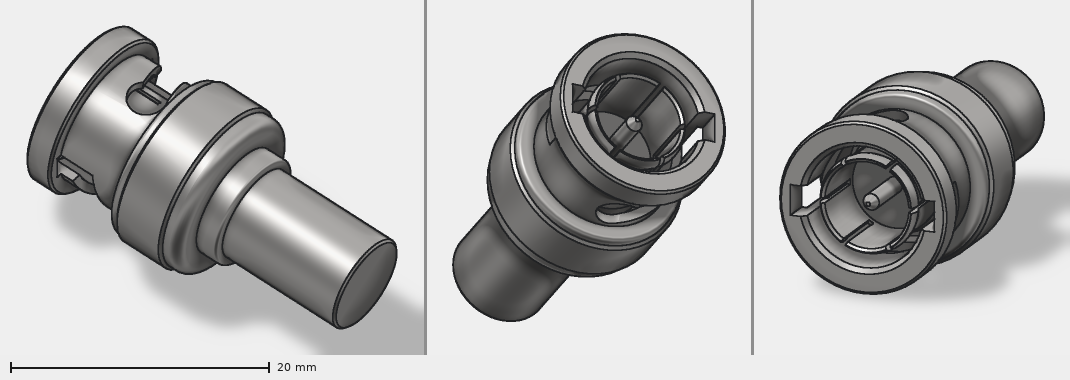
import cadquery as cq
import math

LENGTH = 28.0

FLANGE_RADIUS = 6.95
FLANGE_LENGTH = 2.38
FLANGE_CHAMFER = 0.2
SLEEVE_RADIUS = 5.68
BORE_RADIUS = 4.9
BORE_LEAD_IN = 0.4
GRIP_START = 8.23
GRIP_END = 15.05
GRIP_SHOULDER_RADIUS = 6.97
GRIP_RADIUS = 7.25
GRIP_BAND_START = 8.93
GRIP_BAND_END = 13.52
GRIP_BAND_CHAMFER = 0.35
GRIP_FRONT_FILLET = 0.42
GRIP_REAR_FILLET = 0.92

NECK_RADIUS = 4.75
NECK_END = 17.0
NECK_FILLET = 0.25
TUBE_RADIUS = 4.0
TUBE_CHAMFER = 0.2

ENTRY_WIDTH = 2.45
ENTRY_REACH = 6.0
RAMP_WIDTH = 2.52
RAMP_CENTER_AT_ENTRY = 4.5
RAMP_PITCH = 8.4
RAMP_END_ANGLE = 86.0
SEAT_RADIUS = 1.6
SEAT_X = 6.2
SEAT_OFFSET = 0.4

CONTACT_START = 0.73
CONTACT_RADIUS = 3.78
CONTACT_BORE_RADIUS = 3.5
CONTACT_LIP = 0.03
CONTACT_LEAD_IN = 0.2
NOSE_RADIUS = 4.0
NOSE_CREST = 1.4
NOSE_END = 2.25
GROOVE_START = 6.75
GROOVE_TAPER = 0.2
GROOVE_EDGE_RADIUS = 3.75
GROOVE_FLOOR_X = 7.28
GROOVE_FLOOR_RADIUS = 3.7
SHOULDER_RADIUS = 4.2
SHOULDER_START = 8.12
SLIT_WIDTH = 0.42
SLIT_END = 6.22
SLIT_COUNT = 6
INSULATOR_FACE = 6.72
CAVITY_END = 9.52

PIN_RADIUS = 0.658
PIN_START = 1.2
PIN_TIP_RADIUS = 0.17
PIN_CONE_LENGTH = 0.65

CUT_MARGIN = 0.28


def revolve_about_x(profile):
    """Turn a closed (x, radius) workplane profile about the X axis."""
    return profile.revolve(360, (0, 0, 0), (1, 0, 0))


def cylinder(start, end, radius):
    return cq.Workplane("YZ", origin=(start, 0, 0)).circle(radius).extrude(end - start)


def make_shell():
    flange = cylinder(0, FLANGE_LENGTH, FLANGE_RADIUS).edges().chamfer(FLANGE_CHAMFER)
    sleeve = cylinder(0, GRIP_START, SLEEVE_RADIUS)
    bore = cylinder(0, GRIP_START, BORE_RADIUS)
    lead_in = revolve_about_x(
        cq.Workplane("XY")
        .moveTo(0, 0)
        .lineTo(0, BORE_RADIUS + BORE_LEAD_IN)
        .lineTo(BORE_LEAD_IN, BORE_RADIUS)
        .lineTo(BORE_LEAD_IN, 0)
        .close()
    )
    return flange.union(sleeve).cut(bore).cut(lead_in)


def make_ramp_cutter():
    """Helical slot running from the +Y entry up to the seat at +Z."""
    start_angle = -math.degrees(math.asin(ENTRY_WIDTH / 2 / SLEEVE_RADIUS))
    sweep_angle = RAMP_END_ANGLE - start_angle
    start_center = RAMP_CENTER_AT_ENTRY + RAMP_PITCH * start_angle / 360
    inner = BORE_RADIUS - CUT_MARGIN
    outer = SLEEVE_RADIUS + CUT_MARGIN
    helix = cq.Wire.makeHelix(RAMP_PITCH, RAMP_PITCH * sweep_angle / 360, SLEEVE_RADIUS)
    ramp = (
        cq.Workplane("XZ")
        .center((inner + outer) / 2, 0)
        .rect(outer - inner, RAMP_WIDTH)
        .sweep(cq.Workplane(helix), isFrenet=True)
    )
    ramp = ramp.rotate((0, 0, 0), (0, 0, 1), start_angle).translate((0, 0, start_center))
    return ramp.rotate((0, 0, 0), (1, 1, 1), 120)


def make_slot_cutter():
    start_angle = math.asin(ENTRY_WIDTH / 2 / SLEEVE_RADIUS)
    entry_length = RAMP_CENTER_AT_ENTRY + RAMP_WIDTH / 2 - RAMP_PITCH * start_angle / (2 * math.pi)
    entry = cq.Workplane("XY").box(
        entry_length, ENTRY_REACH, ENTRY_WIDTH, centered=(False, False, True)
    )
    seat = (
        cq.Workplane("XY")
        .center(SEAT_X, SEAT_OFFSET)
        .circle(SEAT_RADIUS)
        .extrude(SLEEVE_RADIUS + CUT_MARGIN)
    )
    return entry.union(make_ramp_cutter()).union(seat)


def make_body():
    grip = cylinder(GRIP_START, GRIP_END, GRIP_SHOULDER_RADIUS)
    grip = grip.faces("<X").edges().fillet(GRIP_FRONT_FILLET)
    grip = grip.faces(">X").edges().fillet(GRIP_REAR_FILLET)
    band = cylinder(GRIP_BAND_START, GRIP_BAND_END, GRIP_RADIUS).edges().chamfer(
        GRIP_RADIUS - GRIP_SHOULDER_RADIUS, GRIP_BAND_CHAMFER
    )
    neck = cylinder(GRIP_END, NECK_END, NECK_RADIUS).faces(">X").edges().fillet(NECK_FILLET)
    tube = cylinder(GRIP_END, LENGTH, TUBE_RADIUS).faces(">X").edges().chamfer(TUBE_CHAMFER)
    cavity = cylinder(GRIP_START, CAVITY_END, BORE_RADIUS)
    return grip.union(band).union(neck).union(tube).cut(cavity)


def make_contact():
    contact = revolve_about_x(
        cq.Workplane("XY")
        .moveTo(CONTACT_START, CONTACT_RADIUS)
        .threePointArc((NOSE_CREST, NOSE_RADIUS), (NOSE_END, CONTACT_RADIUS))
        .lineTo(GROOVE_START, CONTACT_RADIUS)
        .lineTo(GROOVE_START + GROOVE_TAPER, GROOVE_EDGE_RADIUS)
        .threePointArc((GROOVE_FLOOR_X, GROOVE_FLOOR_RADIUS), (SHOULDER_START, SHOULDER_RADIUS))
        .lineTo(CAVITY_END, SHOULDER_RADIUS)
        .lineTo(CAVITY_END, 0)
        .lineTo(INSULATOR_FACE, 0)
        .lineTo(INSULATOR_FACE, CONTACT_BORE_RADIUS)
        .lineTo(CONTACT_START + CONTACT_LEAD_IN, CONTACT_BORE_RADIUS)
        .lineTo(CONTACT_START, CONTACT_RADIUS - CONTACT_LIP)
        .close()
    )
    slit = cq.Workplane("XY").box(
        SLIT_END, CONTACT_RADIUS + CUT_MARGIN, SLIT_WIDTH, centered=(False, False, True)
    )
    for index in range(SLIT_COUNT):
        contact = contact.cut(slit.rotate((0, 0, 0), (1, 0, 0), index * 360 / SLIT_COUNT))
    return contact


def make_pin():
    return revolve_about_x(
        cq.Workplane("XY")
        .moveTo(PIN_START, 0)
        .lineTo(PIN_START, PIN_TIP_RADIUS)
        .lineTo(PIN_START + PIN_CONE_LENGTH, PIN_RADIUS)
        .lineTo(CAVITY_END, PIN_RADIUS)
        .lineTo(CAVITY_END, 0)
        .close()
    )


shell = make_shell()
slot = make_slot_cutter()
for turn in (0, 180):
    shell = shell.cut(slot.rotate((0, 0, 0), (1, 0, 0), turn))

result = make_body().union(shell).union(make_contact()).union(make_pin())